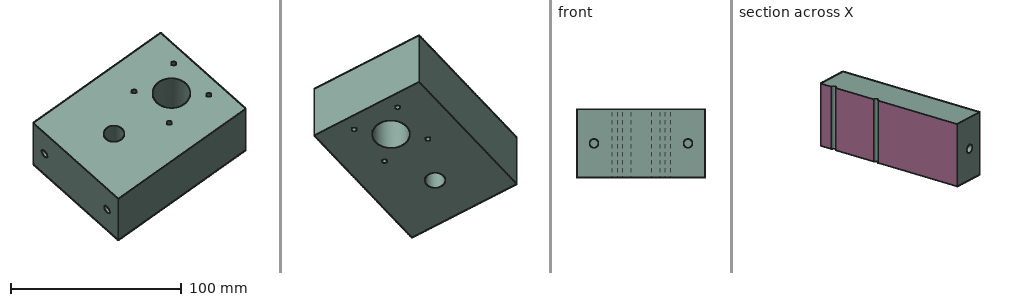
import cadquery as cq

width = 75.0
length = 100.0
height = 40.0

main_bore_diameter = 22.0
main_bore_y = length / 4
screw_hole_diameter = 3.0
screw_spacing = 31.0
small_bore_diameter = 12.0
small_bore_y = -20.0

end_hole_diameter = 5.2
end_hole_inset = 10.0
end_hole_spacing = width - 2 * end_hole_inset
end_hole_depth = 20.0


def vertical_hole(diameter, y):
    """Cutter for a through hole on the centre line."""
    return cq.Workplane("XY").center(0, y).circle(diameter / 2).extrude(height, both=True)


def screw_holes():
    """Cutters for the square of through holes around the main bore."""
    return (
        cq.Workplane("XY")
        .center(0, main_bore_y)
        .rect(screw_spacing, screw_spacing, forConstruction=True)
        .vertices()
        .circle(screw_hole_diameter / 2)
        .extrude(height, both=True)
    )


def end_holes():
    """Cutters running inward along +Y from the front end face."""
    return (
        cq.Workplane("XZ", origin=(0, -length / 2, 0))
        .rarray(end_hole_spacing, 1, 2, 1)
        .circle(end_hole_diameter / 2)
        .extrude(-end_hole_depth)
    )


result = (
    cq.Workplane("XY")
    .box(width, length, height)
    .cut(vertical_hole(main_bore_diameter, main_bore_y))
    .cut(vertical_hole(small_bore_diameter, small_bore_y))
    .cut(screw_holes())
    .cut(end_holes())
)